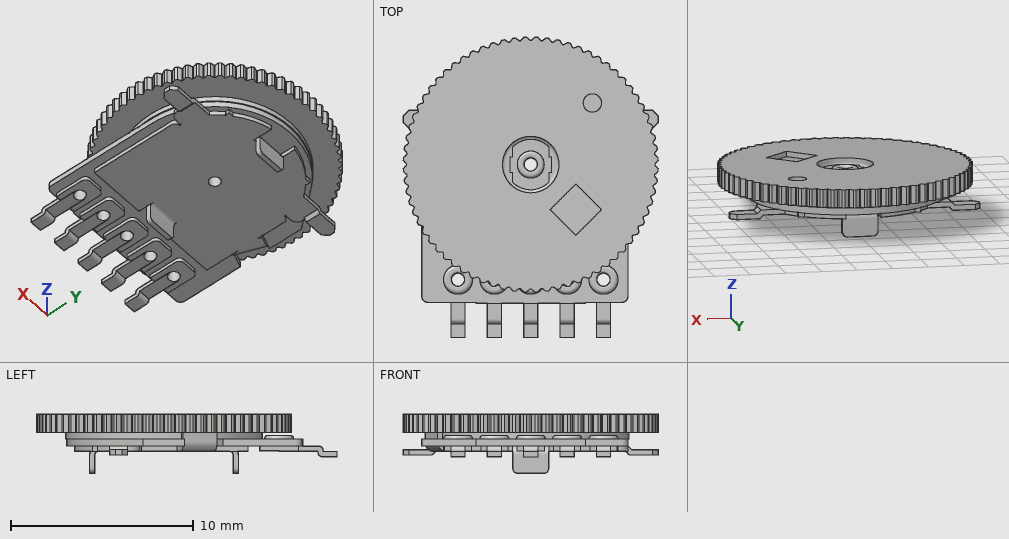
import cadquery as cq
import math


overall_length = 16.49

sheet = 0.3
board_top = 0.4
wheel_bottom = board_top + 0.35
wheel_thickness = 1.0
wheel_top = wheel_bottom + wheel_thickness
plate_bottom = -sheet
leg_bottom = plate_bottom - 1.2

wheel_radius = 14.0 / 2
tooth_count = 72
tooth_depth = 0.18
tip_fraction = 0.26
root_fraction = 0.1
tooth_pitch = 2 * math.pi / tooth_count
wheel_back_y = wheel_radius * math.cos(tooth_pitch * (1 - tip_fraction) / 2)
hub_diameter = 10.8

recess_diameter = 3.1
recess_corner = 0.2
recess_depth = 0.46
bridge_drop = 0.33
bridge_diameter = 2.77
bridge_width = 1.98
bridge_step_width = 2.28
bridge_step_length = 0.85
mark_hole_diameter = 1.0
mark_hole_place = 3.38
square_size = 2.0
square_place = 2.47
square_depth = 0.3

board_radius = 5.35
board_left = -5.99
board_shoulder_y = 1.15
board_front = -7.57
board_corner = 0.35
board_lip_width = 6.04
board_lip = 0.05

plate_radius = 5.0
plate_width = 9.56
plate_front = -4.62
plate_shoulder = 1.24
plate_shoulder_corner = 0.31
plate_neck_width = 8.9
nub_width = 6.86
nub_y_min = 3.66
nub_y_max = 3.92
ear_root_x = 4.29
ear_root_y = 1.32
ear_root_corner = 0.5
ear_y_min = 2.0
ear_y_max = 2.98
ear_chamfer = 0.31
ear_drop = 0.2
ear_jog_x = 5.21
ear_jog_shift = 0.13

strip_width = 1.98
bend_outer = sheet + 0.2
leg_outer_y = 4.09
leg_corner = 0.28
leg_angles = (90, -90)
side_strip_angle = 200
side_strip_outer = 5.8

terminal_count = 5
terminal_pitch = 2.0
terminal_y = -6.32
terminal_width = 0.79
terminal_tip_y = wheel_back_y - overall_length
jog_start_y = -8.45
jog_bend = 0.25
pad_width = 1.48
pad_length = 2.15
pad_thickness = 0.26
pad_corner = 0.33

bore_diameter = 0.71
eyelet_mouth_diameter = 0.95
eyelet_diameter = 1.6
eyelet_height = 0.2
center_eyelet_diameter = 1.48
center_eyelet_height = 0.16


def box(x0, x1, y0, y1, z0, z1):
    """Block between two opposite corners."""
    return cq.Workplane("XY").box(x1 - x0, y1 - y0, z1 - z0, centered=False).translate((x0, y0, z0))


def cylinder(diameter, z0, z1, x=0, y=0):
    return cq.Workplane("XY", origin=(x, y, z0)).circle(diameter / 2).extrude(z1 - z0)


def make_wheel():
    root_radius = wheel_radius - tooth_depth
    tip_half = tooth_pitch * tip_fraction / 2
    root_half = tooth_pitch * root_fraction / 2
    points = []
    for i in range(tooth_count):
        tip = (i + 0.5) * tooth_pitch
        for radius, angle in (
            (root_radius, tip - tooth_pitch / 2 + root_half),
            (wheel_radius, tip - tip_half),
            (wheel_radius, tip + tip_half),
            (root_radius, tip + tooth_pitch / 2 - root_half),
        ):
            points.append((radius * math.cos(angle), radius * math.sin(angle)))
    rim = cq.Workplane("XY", origin=(0, 0, wheel_bottom)).polyline(points).close().extrude(wheel_thickness)
    return rim.union(cylinder(hub_diameter, board_top, wheel_bottom))


def make_center_recess():
    """Round recess with a rounded floor edge, leaving a raised bridge across the middle."""
    floor = wheel_top - recess_depth
    bridge_top = wheel_top - bridge_drop
    recess = cylinder(recess_diameter, floor, wheel_top).faces("<Z").edges().fillet(recess_corner)
    half = bridge_width / 2
    half_step = bridge_step_width / 2
    half_length = bridge_diameter / 2
    bridge = box(-half, half, -half_length, half_length, floor, bridge_top)
    bridge = bridge.union(
        box(-half_step, half_step, -bridge_step_length / 2, bridge_step_length / 2, floor, bridge_top)
    )
    return recess.cut(bridge.intersect(cylinder(bridge_diameter, floor, bridge_top)))


def make_wheel_marks():
    """Round hole through the wheel and shallow square pocket turned by 45 degrees."""
    hole = cylinder(mark_hole_diameter, wheel_bottom, wheel_top, mark_hole_place, mark_hole_place)
    pocket = (
        cq.Workplane("XY", origin=(square_place, -square_place, wheel_top - square_depth))
        .transformed(rotate=(0, 0, 45))
        .rect(square_size, square_size)
        .extrude(square_depth)
    )
    return hole.union(pocket)


def make_board():
    """Round board with a rectangular front; a flank tangent to the round runs out to the left edge."""
    corner_distance = math.hypot(board_left, board_shoulder_y)
    corner_angle = math.atan2(board_shoulder_y, board_left)
    tangent_angle = corner_angle - math.acos(board_radius / corner_distance)

    def on_round(angle):
        return (board_radius * math.cos(angle), board_radius * math.sin(angle))

    board = (
        cq.Workplane("XY")
        .moveTo(board_left, board_front)
        .lineTo(board_radius, board_front)
        .lineTo(board_radius, 0)
        .threePointArc(on_round(tangent_angle / 2), on_round(tangent_angle))
        .lineTo(board_left, board_shoulder_y)
        .close()
        .extrude(board_top)
    )
    board = board.faces("<Y").edges("|Z").fillet(board_corner)
    half_lip = board_lip_width / 2
    return board.union(box(-half_lip, half_lip, board_front - board_lip, 0, 0, board_top))


def make_plate():
    """Base plate: round back, square front, and a wider root for each soldering ear."""
    half = plate_width / 2
    plate = cylinder(2 * plate_radius, plate_bottom, 0)
    half_neck = plate_neck_width / 2
    plate = plate.intersect(box(-half_neck, half_neck, plate_front, plate_radius, plate_bottom, 0))
    front = box(-half, half, plate_front, plate_shoulder, plate_bottom, 0)
    plate = plate.union(front.faces(">Y").edges("|Z").fillet(plate_shoulder_corner))
    half_nub = nub_width / 2
    plate = plate.union(box(-half_nub, half_nub, nub_y_min, nub_y_max, plate_bottom, 0))
    root = box(-board_radius, board_radius, ear_root_y, ear_y_max, plate_bottom, 0)
    return plate.union(root.faces("<Y").edges("|Z").fillet(ear_root_corner))


def make_strip(outer, tip_z):
    """Strip along +X in the plate that bends up or down to tip_z, with its outer face at X = outer."""
    upward = tip_z > 0
    outer_z = plate_bottom if upward else 0
    inner_z = 0 if upward else plate_bottom
    bend_start = outer - bend_outer
    bend_inner = bend_outer - sheet
    bend_z = outer_z + (bend_outer if upward else -bend_outer)
    middle = math.sqrt(0.5)
    middle_rise = middle if upward else -middle
    root = outer - 2 * bend_outer
    return (
        cq.Workplane("XZ", origin=(0, strip_width / 2, 0))
        .moveTo(root, outer_z)
        .lineTo(bend_start, outer_z)
        .threePointArc(
            (bend_start + bend_outer * middle, bend_z - bend_outer * middle_rise),
            (outer, bend_z),
        )
        .lineTo(outer, tip_z)
        .lineTo(outer - sheet, tip_z)
        .lineTo(outer - sheet, bend_z)
        .threePointArc(
            (bend_start + bend_inner * middle, bend_z - bend_inner * middle_rise),
            (bend_start, inner_z),
        )
        .lineTo(root, inner_z)
        .close()
        .extrude(strip_width)
    )


def make_strip_gap(outer, z0, z1):
    """Space around a strip outward from where its bend starts, as wide as the strip."""
    return box(outer - bend_outer, 2 * outer, -strip_width / 2, strip_width / 2, z0, z1)


def make_ear():
    """Soldering ear on the +X side, stepped down from the plate with a 45 degree jog."""
    top_jog_x = ear_jog_x + ear_jog_shift
    ear_top = -ear_drop
    ear_bottom = plate_bottom - ear_drop
    ear = (
        cq.Workplane("XZ", origin=(0, ear_y_max, 0))
        .moveTo(ear_root_x, plate_bottom)
        .lineTo(ear_jog_x, plate_bottom)
        .lineTo(ear_jog_x + ear_drop, ear_bottom)
        .lineTo(wheel_radius, ear_bottom)
        .lineTo(wheel_radius, ear_top)
        .lineTo(top_jog_x + ear_drop, ear_top)
        .lineTo(top_jog_x, 0)
        .lineTo(ear_root_x, 0)
        .close()
        .extrude(ear_y_max - ear_y_min)
    )
    return ear.faces(">X").edges("|Z").chamfer(ear_chamfer)


def make_terminal(x):
    """Terminal with a pad under the board and a tail that jogs down by one sheet thickness."""
    jog_end_y = jog_start_y - sheet
    x0 = x - terminal_width / 2
    x1 = x + terminal_width / 2
    inner = box(x0, x1, jog_end_y, terminal_y, plate_bottom, 0)
    tail = box(x0, x1, terminal_tip_y, jog_start_y, plate_bottom - sheet, plate_bottom)
    inner = inner.edges("|X and <Y and >Z").fillet(jog_bend)
    tail = tail.edges("|X and >Y and <Z").fillet(jog_bend)
    pad = (
        cq.Workplane("XY", origin=(x, terminal_y, -pad_thickness))
        .rect(pad_width, pad_length)
        .extrude(pad_thickness)
        .faces(">Y")
        .edges("|Z")
        .fillet(pad_corner)
    )
    return pad.union(inner.union(tail))


def make_eyelet(diameter, height, base_z):
    """Rolled eyelet rim with a rounded outside and a flared mouth, centred on Z."""
    outer = diameter / 2
    mouth = eyelet_mouth_diameter / 2
    bore = bore_diameter / 2
    flare = mouth - bore
    middle = math.sqrt(0.5)
    top = base_z + height
    return (
        cq.Workplane("XZ")
        .moveTo(bore, base_z)
        .lineTo(outer, base_z)
        .threePointArc(
            (outer - height * (1 - middle), base_z + height * middle),
            (outer - height, top),
        )
        .lineTo(mouth, top)
        .threePointArc((mouth - flare * middle, top - flare * (1 - middle)), (bore, top - flare))
        .close()
        .revolve(360, (0, 0, 0), (0, 1, 0))
    )


wheel = make_wheel().cut(make_center_recess()).cut(make_wheel_marks())

side_gap = make_strip_gap(side_strip_outer, 0, board_top).rotate((0, 0, 0), (0, 0, 1), side_strip_angle)
board = make_board().cut(side_gap)
plate = make_plate()
leg_gap = make_strip_gap(leg_outer_y, plate_bottom, 0)
for angle in leg_angles:
    plate = plate.cut(leg_gap.rotate((0, 0, 0), (0, 0, 1), angle))
body = wheel.union(board).union(plate)

leg = make_strip(leg_outer_y, leg_bottom).faces("<Z").edges("|X").fillet(leg_corner)
for angle in leg_angles:
    body = body.union(leg.rotate((0, 0, 0), (0, 0, 1), angle))
side_strip = make_strip(side_strip_outer, wheel_bottom)
body = body.union(side_strip.rotate((0, 0, 0), (0, 0, 1), side_strip_angle))

ear = make_ear()
body = body.union(ear).union(ear.mirror("YZ"))

board_eyelet = make_eyelet(eyelet_diameter, eyelet_height, board_top)
for i in range(terminal_count):
    x = (i - (terminal_count - 1) / 2) * terminal_pitch
    body = body.union(make_terminal(x)).union(board_eyelet.translate((x, terminal_y, 0)))
    body = body.cut(cylinder(bore_diameter, plate_bottom, board_top, x, terminal_y))

bridge_top = wheel_top - bridge_drop
body = body.union(make_eyelet(center_eyelet_diameter, center_eyelet_height, bridge_top))
result = body.cut(cylinder(bore_diameter, plate_bottom, bridge_top))